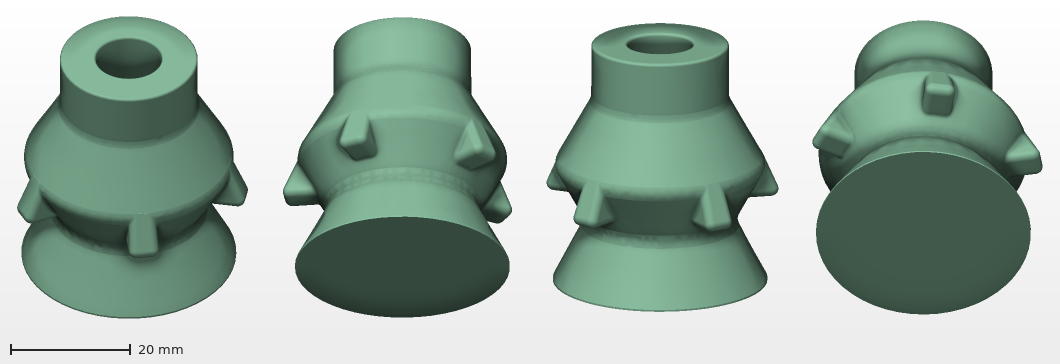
import cadquery as cq
import math

TOTAL_HEIGHT = 41.284
BASE_RADIUS = 17.93
LIP_HEIGHT = 0.3
WAIST_RADIUS = 12.55
WAIST_HEIGHT = 10.7
SHOULDER_RADIUS = 17.85
SHOULDER_HEIGHT = 20.3
NECK_DIAMETER = 23.0
NECK_BOTTOM = 31.7
BEND_FILLET = 2.5

BORE_DIAMETER = 11.0
BORE_DEPTH = 10.0
RIM_FILLET = 0.5

LUG_COUNT = 5
FIRST_LUG_ANGLE = -90.0
LUG_BOTTOM = 13.7
LUG_TOP = 21.5
LUG_TOP_RADIUS = 17.2
LUG_INNER_RADIUS = 11.0
LUG_SLOPE_ANGLE = 23.5
LUG_BOTTOM_WIDTH = 5.15
LUG_DRAFT_ANGLE = 3.0
LUG_EDGE_FILLET = 1.25
LUG_ROOT_FILLET = 0.6

FIND_TOLERANCE = 0.05
SURFACE_TOLERANCE = 0.001


def circle_at(radius, height):
    """Selector for the circular edge of this radius at this height."""
    reach = radius + FIND_TOLERANCE
    return cq.selectors.BoxSelector(
        (-reach, -reach, height - FIND_TOLERANCE),
        (reach, reach, height + FIND_TOLERANCE),
        boundingbox=True,
    )


def make_body():
    """Stack of three cones under a cylindrical neck, with rounded bends."""
    neck_radius = NECK_DIAMETER / 2
    body = (
        cq.Workplane("XZ")
        .moveTo(0, 0)
        .lineTo(BASE_RADIUS, 0)
        .lineTo(BASE_RADIUS, LIP_HEIGHT)
        .lineTo(WAIST_RADIUS, WAIST_HEIGHT)
        .lineTo(SHOULDER_RADIUS, SHOULDER_HEIGHT)
        .lineTo(neck_radius, NECK_BOTTOM)
        .lineTo(neck_radius, TOTAL_HEIGHT)
        .lineTo(0, TOTAL_HEIGHT)
        .close()
        .revolve(360, (0, 0, 0), (0, 1, 0))
    )
    bends = (
        (WAIST_RADIUS, WAIST_HEIGHT),
        (SHOULDER_RADIUS, SHOULDER_HEIGHT),
        (neck_radius, NECK_BOTTOM),
    )
    for radius, height in bends:
        body = body.edges(circle_at(radius, height)).fillet(BEND_FILLET)
    return body


def make_lug():
    """Wedge pointing along +X: sloped outer face, flat bottom, sides drafted inward going up."""
    height = LUG_TOP - LUG_BOTTOM
    bottom_radius = LUG_TOP_RADIUS + height * math.tan(math.radians(LUG_SLOPE_ANGLE))
    bottom_half_width = LUG_BOTTOM_WIDTH / 2
    top_half_width = bottom_half_width - height * math.tan(math.radians(LUG_DRAFT_ANGLE))
    wedge = (
        cq.Workplane("XZ")
        .polyline([
            (LUG_INNER_RADIUS, LUG_BOTTOM),
            (bottom_radius, LUG_BOTTOM),
            (LUG_TOP_RADIUS, LUG_TOP),
            (LUG_INNER_RADIUS, LUG_TOP),
        ])
        .close()
        .extrude(bottom_half_width, both=True)
    )
    drafted = (
        cq.Workplane("YZ")
        .polyline([
            (-bottom_half_width, LUG_BOTTOM),
            (bottom_half_width, LUG_BOTTOM),
            (top_half_width, LUG_TOP),
            (-top_half_width, LUG_TOP),
        ])
        .close()
        .extrude(bottom_radius)
    )
    lug = wedge.intersect(drafted)
    return lug.faces("not (<X or >Z)").edges("not (<X or >Z)").fillet(LUG_EDGE_FILLET)


def on_surface(edge, solid):
    """True if the middle of the edge lies on the skin of the solid."""
    middle = cq.Vertex.makeVertex(*edge.positionAt(0.5).toTuple())
    return min(face.distance(middle) for face in solid.Faces()) < SURFACE_TOLERANCE


def add_lugs(body):
    """Join the lugs and round their roots, letting the rounding run out at the shoulder bend."""
    first_lug = make_lug()
    lugs = cq.Workplane("XY")
    for index in range(LUG_COUNT):
        angle = FIRST_LUG_ANGLE + index * 360 / LUG_COUNT
        lugs = lugs.add(first_lug.rotate((0, 0, 0), (0, 0, 1), angle))
    lugs = lugs.combine()
    joined = body.union(lugs)
    root_edges = [
        edge
        for edge in joined.edges().vals()
        if edge.BoundingBox().zmax < SHOULDER_HEIGHT
        and on_surface(edge, body.val())
        and on_surface(edge, lugs.val())
    ]
    return joined.newObject(root_edges).fillet(LUG_ROOT_FILLET)


def add_bore(body):
    """Blind bore from the top, with both rims of the neck rounded."""
    bored = body.faces(">Z").workplane(origin=(0, 0, TOTAL_HEIGHT)).hole(BORE_DIAMETER, BORE_DEPTH)
    return bored.faces(">Z").edges().fillet(RIM_FILLET)


result = add_bore(add_lugs(make_body()))